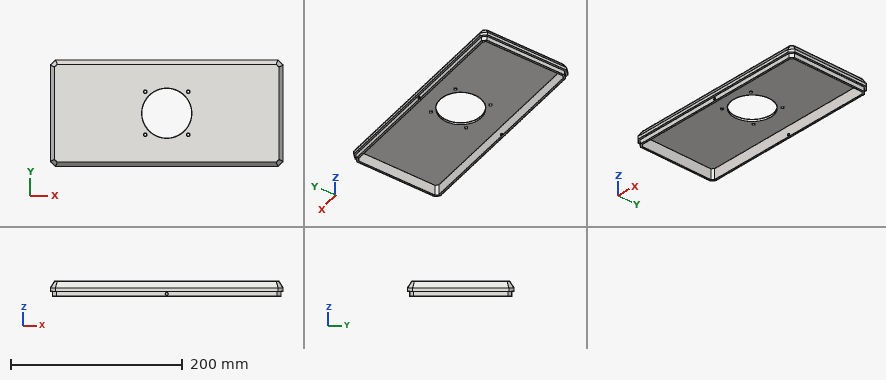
import cadquery as cq

LENGTH = 271.0
WIDTH = 124.0
CORNER_CUT = 6.0

SKIRT_HEIGHT = 6.0
RIM_HEIGHT = 4.0
BEVEL_HEIGHT = 8.0
TOTAL_HEIGHT = SKIRT_HEIGHT + RIM_HEIGHT + BEVEL_HEIGHT

SKIRT_INSET = 2.5
BEVEL_INSET = 5.0

WALL = 2.5
TOP_THICKNESS = 3.0
CAVITY_INSET = SKIRT_INSET + WALL

OPENING_DIAMETER = 58.0
SCREW_HOLE_DIAMETER = 3.5
SCREW_HOLE_SPACING = 50.0
SIDE_HOLE_DIAMETER = 3.0
SIDE_HOLE_HEIGHT = SKIRT_HEIGHT / 2


def outline(inset, z):
    """Wire of the corner-cut rectangle, moved inward by inset, at height z."""
    block = cq.Workplane("XY").rect(LENGTH, WIDTH).extrude(TOTAL_HEIGHT)
    wire = block.edges("|Z").chamfer(CORNER_CUT).faces("<Z").wires().val()
    if inset:
        wire = wire.offset2D(-inset, "intersection")[0]
    return wire.translate(cq.Vector(0, 0, z))


def prism(inset, bottom, top):
    """Straight-sided block with the inset outline between two heights."""
    wire = outline(inset, bottom)
    return cq.Workplane(cq.Solid.extrudeLinear(wire, [], cq.Vector(0, 0, top - bottom)))


def cover_body():
    """Solid skirt, overhanging rim and beveled top."""
    rim_top = SKIRT_HEIGHT + RIM_HEIGHT
    skirt = prism(SKIRT_INSET, 0, SKIRT_HEIGHT)
    rim = prism(0, SKIRT_HEIGHT, rim_top)
    bevel_wires = [outline(0, rim_top), outline(BEVEL_INSET, TOTAL_HEIGHT)]
    bevel = cq.Workplane(cq.Solid.makeLoft(bevel_wires, True))
    return skirt.union(rim).union(bevel)


def cavity():
    """Hollow that is open at the underside."""
    return prism(CAVITY_INSET, 0, TOTAL_HEIGHT - TOP_THICKNESS)


def top_openings():
    """Central round opening and the four screw holes around it."""
    opening = cq.Workplane("XY").circle(OPENING_DIAMETER / 2).extrude(TOTAL_HEIGHT)
    screw_holes = (
        cq.Workplane("XY")
        .rect(SCREW_HOLE_SPACING, SCREW_HOLE_SPACING, forConstruction=True)
        .vertices()
        .circle(SCREW_HOLE_DIAMETER / 2)
        .extrude(TOTAL_HEIGHT)
    )
    return opening.union(screw_holes)


def side_holes():
    """Cross hole through the middle of both long skirt walls."""
    return (
        cq.Workplane("XZ")
        .center(0, SIDE_HOLE_HEIGHT)
        .circle(SIDE_HOLE_DIAMETER / 2)
        .extrude(WIDTH / 2, both=True)
    )


result = cover_body().cut(cavity()).cut(top_openings()).cut(side_holes())